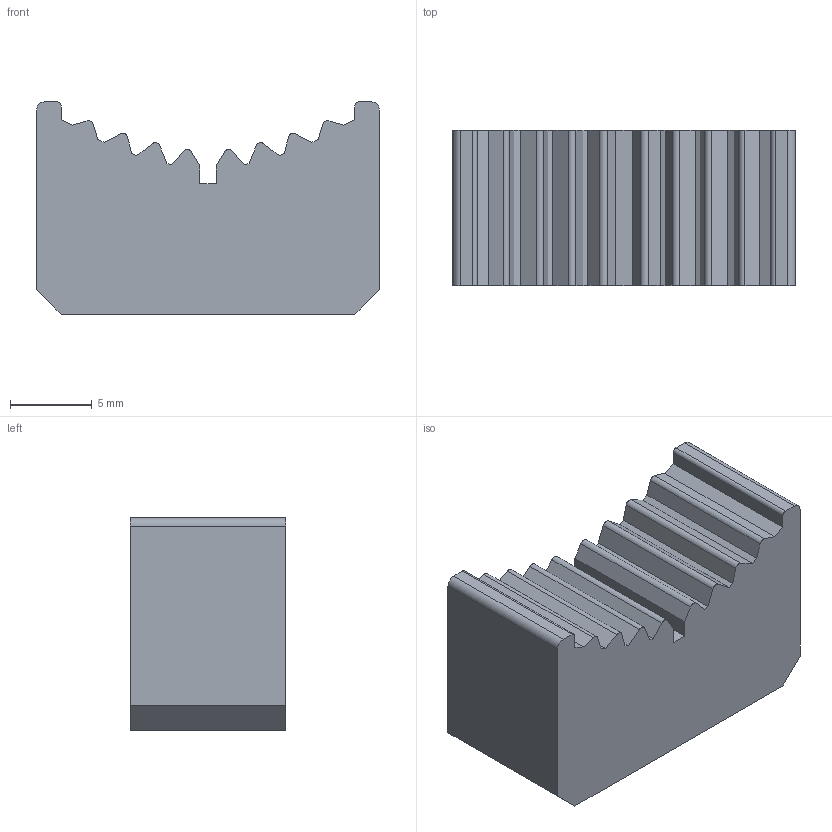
import cadquery as cq

LENGTH = 21.0
WIDTH = 9.5
HEIGHT = 13.0
BOTTOM_CHAMFER = 1.5
OUTER_TOP_RADIUS = 0.5

WALL_THICKNESS = 1.5
WALL_FOOT_HEIGHT = 11.92
WALL_INNER_RADIUS = 0.25

SLOT_WIDTH = 1.0
SLOT_FLOOR_HEIGHT = 8.0
SLOT_MOUTH_HEIGHT = 9.08

TOOTH_TIP_RADIUS = 0.3
VALLEYS = [(-8.28, 11.57), (-6.37, 10.51), (-4.36, 9.70), (-2.22, 9.14)]
CRESTS = [(-7.13, 11.92), (-5.03, 11.22), (-3.09, 10.68), (-1.22, 10.28)]
INNER_FEET = [(-6.74, 10.72), (-4.67, 9.86), (-2.52, 9.22)]

HALF_LENGTH = LENGTH / 2
WALL_INNER_X = -HALF_LENGTH + WALL_THICKNESS
SLOT_EDGE_X = -SLOT_WIDTH / 2


def tooth_corners():
    """Corners of the left teeth, ending at the mouth of the slot."""
    feet = INNER_FEET + [(SLOT_EDGE_X, SLOT_MOUTH_HEIGHT)]
    corners = []
    for valley, crest, foot in zip(VALLEYS, CRESTS, feet):
        corners += [valley, crest, foot]
    return corners


def left_outline():
    """Left half of the section, from the bottom chamfer to the slot floor."""
    return [
        (-HALF_LENGTH + BOTTOM_CHAMFER, 0),
        (-HALF_LENGTH, BOTTOM_CHAMFER),
        (-HALF_LENGTH, HEIGHT),
        (WALL_INNER_X, HEIGHT),
        (WALL_INNER_X, WALL_FOOT_HEIGHT),
        *tooth_corners(),
        (SLOT_EDGE_X, SLOT_FLOOR_HEIGHT),
    ]


def mirrored(points):
    """Points reflected to the right half, in reverse order."""
    return [(-x, z) for x, z in reversed(points)]


def make_sharp_block():
    """Full section with sharp corners, extruded across the width."""
    left = left_outline()
    section = cq.Workplane("XZ").polyline(left + mirrored(left)).close()
    return section.extrude(WIDTH / 2, both=True)


def round_edges(body, corners, radius):
    """Round the widthwise edges at the given section corners and their mirror images."""
    edges = body.newObject([])
    for x, z in corners + mirrored(corners):
        edges = edges.add(body.edges("|Y").edges(cq.NearestToPointSelector((x, 0, z))))
    return edges.fillet(radius)


part = make_sharp_block()
part = round_edges(part, [(-HALF_LENGTH, HEIGHT)], OUTER_TOP_RADIUS)
part = round_edges(part, [(WALL_INNER_X, HEIGHT)], WALL_INNER_RADIUS)
part = round_edges(part, CRESTS, TOOTH_TIP_RADIUS)

result = part